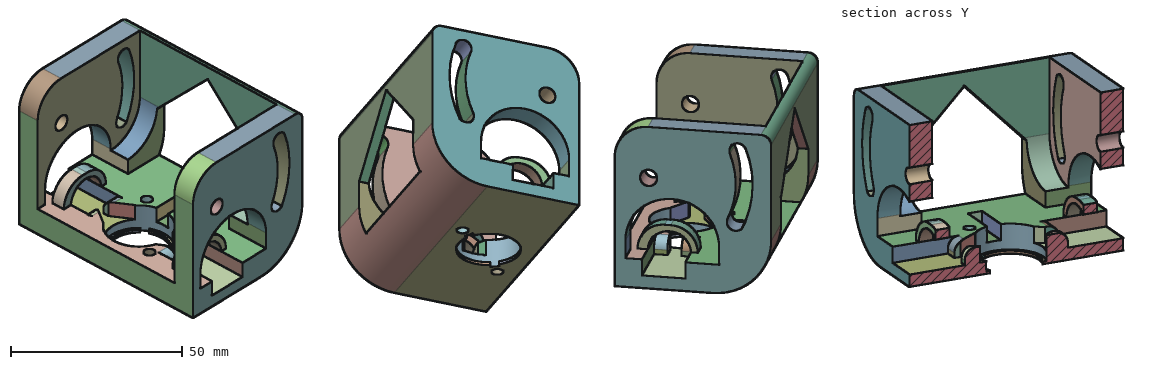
import cadquery as cq
import math

LENGTH = 69.8
DEPTH = 46.6
HEIGHT = 50.5
SIDE_WALL = 7.5
BACK_WALL = 3.1
FLOOR = 9.0
FRONT_TOP_RADIUS = 10.0
BACK_TOP_RADIUS = 3.0
BACK_BOTTOM_RADIUS = 17.45

GUSSET_TOP = 26.7
GUSSET_STEP = 14.0
GUSSET_RADIUS = 12.7

WINDOW_CENTER_X = -0.3
WINDOW_WIDTH = 40.5
WINDOW_EAVES = 25.8

SIDE_OPENING_RADIUS = 13.95
SIDE_OPENING_Y = 17.2
SIDE_OPENING_Z = 14.5
PIVOT_Y = 10.1
PIVOT_Z = 34.55
PIVOT_DIAMETER = 5.0
ARC_SLOT_RADIUS = 28.5
ARC_SLOT_WIDTH = 5.0
ARC_SLOT_TOP_ANGLE = 21.0
ARC_SLOT_BOTTOM_ANGLE = -25.0
ARC_SLOT_CORNER_ANGLE = -26.5

BORE_Y = 14.0
BORE_DIAMETER = 21.0
LIP_DIAMETER = 18.9
LIP_THICKNESS = 1.0
PIN_DIAMETER = 3.5
PIN_CIRCLE_RADIUS = 13.75
PIN_ANGLES = (123.7, -33.7)
NOTCH_WIDTH = 2.65

CHANNEL_FLOOR = 4.0
CHANNEL_FRONT_Y = 8.2
CHANNEL_BACK_Y = 21.1
CHANNEL_INNER_X = 16.9
CHANNEL_LIP_RADIUS = 3.5
NECK_FRONT_Y = 12.15
NECK_BACK_Y_LEFT = 16.8
NECK_BACK_Y_RIGHT = 16.3
FLARE_X_LEFT = -14.9
FLARE_X_RIGHT = 12.4
FLARE_END_X = 8.2
FLARE_BACK_Y_LEFT = 20.95
FLARE_FRONT_Y_LEFT = 7.7
FLARE_BACK_Y_RIGHT = 19.1
FLARE_FRONT_Y_RIGHT = 9.55
REAR_SLOT_WIDTH = 4.6
REAR_SLOT_END_Y = 36.7

ARCH_WIDTH = 4.6
ARCH_OFFSET = 24.1
ARCH_OUTER_RADIUS = 8.0
ARCH_CREST_Y = 14.1
ARCH_CREST_FLAT = 1.9
ARCH_INNER_RADIUS = (CHANNEL_BACK_Y - CHANNEL_FRONT_Y) / 2
ARCH_INNER_Y = (CHANNEL_BACK_Y + CHANNEL_FRONT_Y) / 2
ARCH_INNER_Z = 8.65

INNER_LENGTH = LENGTH - 2 * SIDE_WALL
BACK_FACE = DEPTH - BACK_WALL
SIDE_OPENING_BACK_Y = SIDE_OPENING_Y + SIDE_OPENING_RADIUS


def box(x0, x1, y0, y1, z0, z1):
    return cq.Workplane("XY").box(x1 - x0, y1 - y0, z1 - z0, centered=False).translate((x0, y0, z0))


def side_sketch(x):
    """Sketch plane at the given X, drawn in (Y, Z) and extruded towards +X."""
    return cq.Workplane("YZ", origin=(x, 0, 0))


def floor_cylinder(x, y, diameter, bottom, top):
    return cq.Workplane("XY", origin=(x, y, bottom)).circle(diameter / 2).extrude(top - bottom)


def make_outer_block():
    block = box(-LENGTH / 2, LENGTH / 2, 0, DEPTH, 0, HEIGHT)
    block = block.edges("|X and <Y and >Z").fillet(FRONT_TOP_RADIUS)
    block = block.edges("|X and >Y and >Z").fillet(BACK_TOP_RADIUS)
    return block.edges("|X and >Y and <Z").fillet(BACK_BOTTOM_RADIUS)


def make_cavity():
    """Space between the walls, with its back lower corner left for the gussets."""
    return (
        side_sketch(-INNER_LENGTH / 2)
        .moveTo(0, FLOOR)
        .lineTo(SIDE_OPENING_BACK_Y, FLOOR)
        .lineTo(SIDE_OPENING_BACK_Y, GUSSET_STEP)
        .radiusArc((BACK_FACE, GUSSET_TOP), -GUSSET_RADIUS)
        .lineTo(BACK_FACE, HEIGHT)
        .lineTo(0, HEIGHT)
        .close()
        .extrude(INNER_LENGTH)
    )


def make_window():
    half = WINDOW_WIDTH / 2
    start_y = SIDE_OPENING_BACK_Y
    return (
        cq.Workplane("XZ", origin=(WINDOW_CENTER_X, start_y, 0))
        .moveTo(-half, FLOOR)
        .lineTo(half, FLOOR)
        .lineTo(half, WINDOW_EAVES)
        .lineTo(0, WINDOW_EAVES + half)
        .lineTo(-half, WINDOW_EAVES)
        .close()
        .extrude(start_y - DEPTH)
    )


def polar_yz(radius, angle):
    """Point around the pivot, the angle measured upwards from +Y."""
    turn = math.radians(angle)
    return (PIVOT_Y + radius * math.cos(turn), PIVOT_Z + radius * math.sin(turn))


def make_arc_slot():
    """Slot around the pivot with round ends and a slight corner at the bottom of its outer side."""
    outer = ARC_SLOT_RADIUS + ARC_SLOT_WIDTH / 2
    inner = ARC_SLOT_RADIUS - ARC_SLOT_WIDTH / 2
    top = ARC_SLOT_TOP_ANGLE
    bottom = ARC_SLOT_BOTTOM_ANGLE
    corner = polar_yz(outer, ARC_SLOT_CORNER_ANGLE)
    end_turn = math.degrees(ARC_SLOT_WIDTH / 2 / ARC_SLOT_RADIUS)
    return (
        side_sketch(-LENGTH / 2)
        .moveTo(*corner)
        .threePointArc(polar_yz(outer, (top + bottom) / 2), polar_yz(outer, top))
        .threePointArc(polar_yz(ARC_SLOT_RADIUS, top + end_turn), polar_yz(inner, top))
        .threePointArc(polar_yz(inner, (top + bottom) / 2), polar_yz(inner, bottom))
        .threePointArc(polar_yz(ARC_SLOT_RADIUS, bottom - end_turn), corner)
        .close()
        .extrude(LENGTH)
    )


def make_side_openings():
    """Arched opening, pivot hole and curved slot, passing through both side walls."""
    arch_hole = (
        side_sketch(-LENGTH / 2)
        .moveTo(SIDE_OPENING_BACK_Y, FLOOR)
        .lineTo(SIDE_OPENING_BACK_Y, SIDE_OPENING_Z)
        .radiusArc((SIDE_OPENING_Y - SIDE_OPENING_RADIUS, SIDE_OPENING_Z), -SIDE_OPENING_RADIUS)
        .lineTo(SIDE_OPENING_Y - SIDE_OPENING_RADIUS, FLOOR)
        .close()
        .extrude(LENGTH)
    )
    pivot = side_sketch(-LENGTH / 2).center(PIVOT_Y, PIVOT_Z).circle(PIVOT_DIAMETER / 2).extrude(LENGTH)
    slot = make_arc_slot()
    return arch_hole.union(pivot).union(slot)


def make_bore():
    """Stepped bore, with a pin hole and a notch in the lip at each pin angle."""
    bore = floor_cylinder(0, BORE_Y, BORE_DIAMETER, LIP_THICKNESS, FLOOR)
    bore = bore.union(floor_cylinder(0, BORE_Y, LIP_DIAMETER, 0, FLOOR))
    full_disc = floor_cylinder(0, BORE_Y, BORE_DIAMETER, 0, FLOOR)
    for angle in PIN_ANGLES:
        pin_x = PIN_CIRCLE_RADIUS * math.cos(math.radians(angle))
        pin_y = BORE_Y + PIN_CIRCLE_RADIUS * math.sin(math.radians(angle))
        bore = bore.union(floor_cylinder(pin_x, pin_y, PIN_DIAMETER, 0, FLOOR))
        notch = box(0, BORE_DIAMETER, -NOTCH_WIDTH / 2, NOTCH_WIDTH / 2, 0, FLOOR)
        notch = notch.rotate((0, 0, 0), (0, 0, 1), angle).translate((0, BORE_Y, 0))
        bore = bore.union(notch.intersect(full_disc))
    return bore


def make_channel(side):
    """Wide channel through one side wall (side is -1 or 1), rounded over at its inner end."""
    inner_x = CHANNEL_INNER_X
    crest_x = inner_x - CHANNEL_LIP_RADIUS
    return (
        cq.Workplane("XZ", origin=(0, CHANNEL_BACK_Y, 0))
        .moveTo(side * LENGTH / 2, CHANNEL_FLOOR)
        .lineTo(side * inner_x, CHANNEL_FLOOR)
        .lineTo(side * inner_x, FLOOR - CHANNEL_LIP_RADIUS)
        .radiusArc((side * crest_x, FLOOR), side * -CHANNEL_LIP_RADIUS)
        .lineTo(side * LENGTH / 2, FLOOR)
        .close()
        .extrude(CHANNEL_BACK_Y - CHANNEL_FRONT_Y)
    )


def make_neck(side, flare_x, back_y, flare_back_y, flare_front_y):
    """Narrow passage from a wide channel, flaring out to meet the bore."""
    points = [
        (side * CHANNEL_INNER_X, NECK_FRONT_Y),
        (flare_x, NECK_FRONT_Y),
        (side * FLARE_END_X, flare_front_y),
        (0, BORE_Y),
        (side * FLARE_END_X, flare_back_y),
        (flare_x, back_y),
        (side * CHANNEL_INNER_X, back_y),
    ]
    outline = cq.Workplane("XY", origin=(0, 0, CHANNEL_FLOOR)).polyline(points).close()
    return outline.extrude(FLOOR - CHANNEL_FLOOR)


def make_rear_slot():
    half = REAR_SLOT_WIDTH / 2
    return box(
        WINDOW_CENTER_X - half, WINDOW_CENTER_X + half, BORE_Y, REAR_SLOT_END_Y, CHANNEL_FLOOR, FLOOR
    )


def make_arch(side):
    """Flat-crested arch standing on the floor across a channel."""
    half_flat = ARCH_CREST_FLAT / 2
    half_span = half_flat + ARCH_OUTER_RADIUS
    crest_z = FLOOR + ARCH_OUTER_RADIUS
    start_x = side * ARCH_OFFSET - ARCH_WIDTH / 2
    arch = (
        side_sketch(start_x)
        .moveTo(ARCH_CREST_Y + half_span, FLOOR)
        .radiusArc((ARCH_CREST_Y + half_flat, crest_z), -ARCH_OUTER_RADIUS)
        .lineTo(ARCH_CREST_Y - half_flat, crest_z)
        .radiusArc((ARCH_CREST_Y - half_span, FLOOR), -ARCH_OUTER_RADIUS)
        .close()
        .extrude(ARCH_WIDTH)
    )
    clearance = (
        side_sketch(start_x).center(ARCH_INNER_Y, ARCH_INNER_Z).circle(ARCH_INNER_RADIUS).extrude(ARCH_WIDTH)
    )
    return arch.cut(clearance)


result = make_outer_block().cut(make_cavity()).cut(make_window()).cut(make_side_openings())
result = result.cut(make_bore()).cut(make_rear_slot())
result = result.cut(make_neck(-1, FLARE_X_LEFT, NECK_BACK_Y_LEFT, FLARE_BACK_Y_LEFT, FLARE_FRONT_Y_LEFT))
result = result.cut(make_neck(1, FLARE_X_RIGHT, NECK_BACK_Y_RIGHT, FLARE_BACK_Y_RIGHT, FLARE_FRONT_Y_RIGHT))
for side in (-1, 1):
    result = result.cut(make_channel(side))
    result = result.union(make_arch(side))